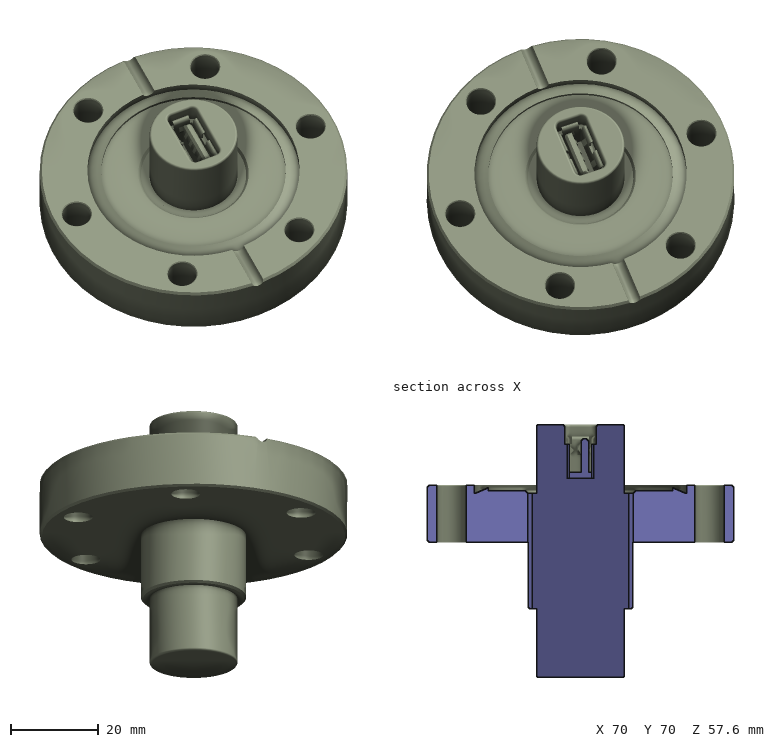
import cadquery as cq
import math

flange_dia = 70.0
flange_thickness = 13.0
flange_chamfer = 0.5
recess_dia = 48.3
knife_dia = 42.0
knife_drop = 0.55
recess_depth = 1.9
floor_drop = 1.25
bore_chamfer = 0.55
bolt_count = 6
first_bolt_angle = 90.0
bolt_circle_dia = 58.65
bolt_hole_dia = 6.6
bolt_hole_chamfer = 0.2
leak_groove_radius = 1.5
leak_groove_lift = 0.35

sleeve_dia = 24.0
shoulder_dia = 22.0
plug_dia = 20.0
plug_edge_radius = 0.5
plug_top_height = 13.8
total_height = 57.6
sleeve_drop = 15.2
sleeve_chamfer = 0.5

window_length = 14.4
window_width = 7.15
window_corner_radius = 1.25
window_edge_radius = 0.55
window_depth = 4.5
shell_inner_length = 12.45
shell_inner_width = 5.05
shell_wall = 0.4
shell_corner_radius = 0.7
shell_height = 7.7

lip_rise = 1.0
lip_bend_radius = 0.85
lip_bend_angle = 70.0
lip_gap = 2.4
long_lip_length = 4.5
short_lip_length = 3.9
spring_width = 1.5
back_spring_bulge = 0.55
front_spring_bulge = 1.0
side_spring_bulge = 0.5
spring_length = 2.25
spring_top_drop = 0.3
spring_offset = 2.95

insert_base_thickness = 1.4
tongue_length = 11.2
tongue_width = 1.8
tongue_back_y = 1.9
tongue_corner_radius = 0.7
tongue_chamfer = 0.55
tongue_tip_depth = 3.2
contact_width = 1.0
contact_bulge = 0.6
contact_top_drop = 0.85
contact_length = 2.8
contact_places = (-3.5, -1.05, 1.05, 3.5)

flange_top = flange_thickness
sleeve_top = flange_top - floor_drop - bore_chamfer
sleeve_bottom = -sleeve_drop
plug_top = flange_top + plug_top_height
plug_bottom = plug_top - total_height
window_floor = plug_top - window_depth
shell_outer_length = shell_inner_length + 2 * shell_wall
shell_outer_width = shell_inner_width + 2 * shell_wall
shell_bottom = window_floor - shell_height
tongue_tip = plug_top - tongue_tip_depth


def cylinder(diameter, bottom, top):
    return cq.Workplane("XY").workplane(offset=bottom).circle(diameter / 2).extrude(top - bottom)


def rounded_block(length, width, corner_radius, bottom, top):
    block = cq.Workplane("XY").workplane(offset=bottom).rect(length, width).extrude(top - bottom)
    return block.edges("|Z").fillet(corner_radius)


def wall_bar(profile, width, offset, angle):
    """Extrude a closed YZ profile along a wall, then turn it about Z.

    At angle 0 the wall faces along Y and the bar is centred on x = offset.
    """
    bar = profile.extrude(width / 2, both=True)
    return bar.translate((offset, 0, 0)).rotate((0, 0, 0), (0, 0, 1), angle)


def make_flange():
    outer = flange_dia / 2
    bore = sleeve_dia / 2
    profile = [
        (bore, 0),
        (outer - flange_chamfer, 0),
        (outer, flange_chamfer),
        (outer, flange_top - flange_chamfer),
        (outer - flange_chamfer, flange_top),
        (recess_dia / 2, flange_top),
        (recess_dia / 2, flange_top - recess_depth),
        (knife_dia / 2, flange_top - knife_drop),
        (knife_dia / 2, flange_top - floor_drop),
        (bore + bore_chamfer, flange_top - floor_drop),
        (bore, sleeve_top),
    ]
    flange = cq.Workplane("XZ").polyline(profile).close().revolve(360, (0, 0, 0), (0, 1, 0))

    bolt_hole = cq.Solid.makeCylinder(bolt_hole_dia / 2, flange_thickness)
    hole_mouth = cq.Solid.makeCone(
        bolt_hole_dia / 2, bolt_hole_dia / 2 + bolt_hole_chamfer, bolt_hole_chamfer
    ).translate(cq.Vector(0, 0, flange_top - bolt_hole_chamfer))
    for index in range(bolt_count):
        angle = math.radians(first_bolt_angle + index * 360 / bolt_count)
        place = cq.Vector(math.cos(angle), math.sin(angle), 0) * (bolt_circle_dia / 2)
        flange = flange.cut(cq.Workplane(bolt_hole.translate(place)))
        flange = flange.cut(cq.Workplane(hole_mouth.translate(place)))

    groove = (
        cq.Workplane("YZ")
        .center(0, flange_top + leak_groove_lift)
        .circle(leak_groove_radius)
        .extrude(flange_dia / 2, both=True)
        .cut(cylinder(recess_dia, 0, plug_top))
    )
    return flange.cut(groove)


def make_sleeve():
    sleeve = cylinder(sleeve_dia, sleeve_bottom, sleeve_top)
    sleeve = sleeve.faces("<Z").edges().chamfer(sleeve_chamfer)
    return sleeve.cut(cylinder(shoulder_dia, sleeve_bottom, sleeve_top))


def make_connector_body():
    plug = cylinder(plug_dia, plug_bottom, plug_top)
    plug = plug.faces("<Z or >Z").edges().fillet(plug_edge_radius)
    body = plug.union(cylinder(shoulder_dia, sleeve_bottom, sleeve_top))
    window = rounded_block(window_length, window_width, window_corner_radius, window_floor, plug_top)
    body = body.cut(window)
    body = body.faces(">Z").wires(cq.selectors.LengthNthSelector(0)).fillet(window_edge_radius)
    shell_seat = rounded_block(
        shell_outer_length, shell_outer_width, shell_corner_radius, shell_bottom, window_floor
    )
    return body.cut(shell_seat)


def make_lip(inner, width, offset, angle):
    """Wall strip that rises from the shell's rim and bends outward to a level end."""
    outer = inner + shell_wall
    bend_start = window_floor + lip_rise

    def bend_point(face, bend_angle):
        turn = math.radians(bend_angle)
        outward = lip_bend_radius * (1 - math.cos(turn))
        return face + outward, bend_start + lip_bend_radius * math.sin(turn)

    profile = (
        cq.Workplane("YZ")
        .moveTo(inner, window_floor)
        .lineTo(inner, bend_start)
        .threePointArc(bend_point(inner, lip_bend_angle / 2), bend_point(inner, lip_bend_angle))
        .lineTo(*bend_point(outer, lip_bend_angle))
        .threePointArc(bend_point(outer, lip_bend_angle / 2), (outer, bend_start))
        .lineTo(outer, window_floor)
        .close()
    )
    return wall_bar(profile, width, offset, angle)


def make_spring(inner, bulge, offset, angle):
    """Bent spring that bulges inward from a shell wall, rooted in the wall."""
    top = window_floor - spring_top_drop
    root = inner + shell_wall / 2
    points = [
        (root, top),
        (inner, top),
        (inner - bulge, top - spring_length / 2),
        (inner, top - spring_length),
        (root, top - spring_length),
    ]
    profile = cq.Workplane("YZ").polyline(points).close()
    return wall_bar(profile, spring_width, offset, angle)


def make_shell():
    shell = rounded_block(
        shell_outer_length, shell_outer_width, shell_corner_radius, shell_bottom, window_floor
    )
    cavity = rounded_block(
        shell_inner_length, shell_inner_width, shell_corner_radius - shell_wall, shell_bottom, window_floor
    )
    shell = shell.cut(cavity)
    half_width = shell_inner_width / 2
    half_length = shell_inner_length / 2
    lip_offset = (lip_gap + long_lip_length) / 2
    for wall_angle, bulge in ((0, back_spring_bulge), (180, front_spring_bulge)):
        for side in (-1, 1):
            shell = shell.union(make_lip(half_width, long_lip_length, side * lip_offset, wall_angle))
            shell = shell.union(make_spring(half_width, bulge, side * spring_offset, wall_angle))
    for wall_angle in (90, 270):
        shell = shell.union(make_lip(half_length, short_lip_length, 0, wall_angle))
        shell = shell.union(make_spring(half_length, side_spring_bulge, 0, wall_angle))
    return shell


def make_insert():
    base_top = shell_bottom + insert_base_thickness
    insert = rounded_block(
        shell_inner_length, shell_inner_width, shell_corner_radius - shell_wall, shell_bottom, base_top
    )
    tongue_middle_y = tongue_back_y - tongue_width / 2
    tongue = (
        cq.Workplane("XY")
        .box(tongue_length, tongue_width, tongue_tip - base_top, centered=(True, True, False))
        .translate((0, tongue_middle_y, base_top))
        .edges("|Z and >Y").fillet(tongue_corner_radius)
        .faces(">Z").edges().chamfer(tongue_chamfer)
    )
    insert = insert.union(tongue)

    front = tongue_back_y - tongue_width
    root = tongue_middle_y
    top = tongue_tip - contact_top_drop
    points = [
        (root, top),
        (front, top),
        (front - contact_bulge, top - contact_length / 2),
        (front, top - contact_length),
        (root, top - contact_length),
    ]
    for place in contact_places:
        profile = cq.Workplane("YZ").polyline(points).close()
        insert = insert.union(wall_bar(profile, contact_width, place, 0))
    return insert


flange = make_flange()
sleeve = make_sleeve()
connector_body = make_connector_body()
shell = make_shell()
insert = make_insert()

result = cq.Compound.makeCompound(
    [flange.val(), sleeve.val(), connector_body.val(), shell.val(), insert.val()]
)